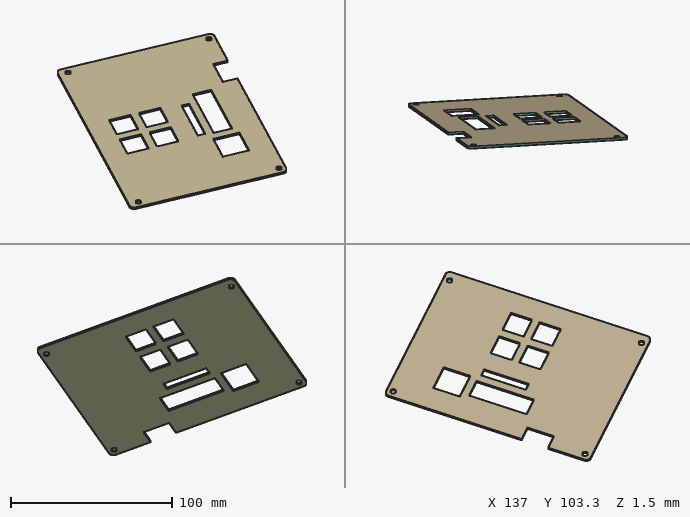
import cadquery as cq

plate_length = 137.0
plate_width = 103.3
plate_thickness = 1.5
plate_corner_radius = 3.0

mount_hole_diameter = 3.4
mount_side_margin = 4.2
mount_top_margin = 4.2
mount_bottom_margin = 6.3

notch_left = -41.1
notch_width = 17.7
notch_depth = 9.6

key_size = 14.1
key_corner_radius = 0.4
key_pitch_x = 19.2
key_pitch_y = 19.6
key_grid_center_x = 2.9
key_grid_center_y = -19.6

display_window = (0.3, 26.6, 38.4, 12.2)
slot_window = (3.5, 12.9, 29.7, 4.9)
square_window = (33.4, 27.0, 17.7, 17.3)


def opening(center_x, center_y, length, width):
    """Rectangular cutter through the full plate thickness."""
    return (
        cq.Workplane("XY")
        .center(center_x, center_y)
        .rect(length, width)
        .extrude(plate_thickness)
    )


plate = (
    cq.Workplane("XY")
    .rect(plate_length, plate_width)
    .extrude(plate_thickness)
    .edges("|Z")
    .fillet(plate_corner_radius)
)

mount_x = plate_length / 2 - mount_side_margin
mount_top_y = plate_width / 2 - mount_top_margin
mount_bottom_y = -plate_width / 2 + mount_bottom_margin
mount_points = [(x, y) for x in (-mount_x, mount_x) for y in (mount_bottom_y, mount_top_y)]
mount_holes = (
    cq.Workplane("XY")
    .pushPoints(mount_points)
    .circle(mount_hole_diameter / 2)
    .extrude(plate_thickness)
)
plate = plate.cut(mount_holes)

notch_center_x = notch_left + notch_width / 2
notch_center_y = plate_width / 2 - notch_depth / 2
plate = plate.cut(opening(notch_center_x, notch_center_y, notch_width, notch_depth))

for window in (display_window, slot_window, square_window):
    plate = plate.cut(opening(*window))

for side_x in (-1, 1):
    for side_y in (-1, 1):
        key_x = key_grid_center_x + side_x * key_pitch_x / 2
        key_y = key_grid_center_y + side_y * key_pitch_y / 2
        key = opening(key_x, key_y, key_size, key_size)
        plate = plate.cut(key.edges("|Z").fillet(key_corner_radius))

result = plate